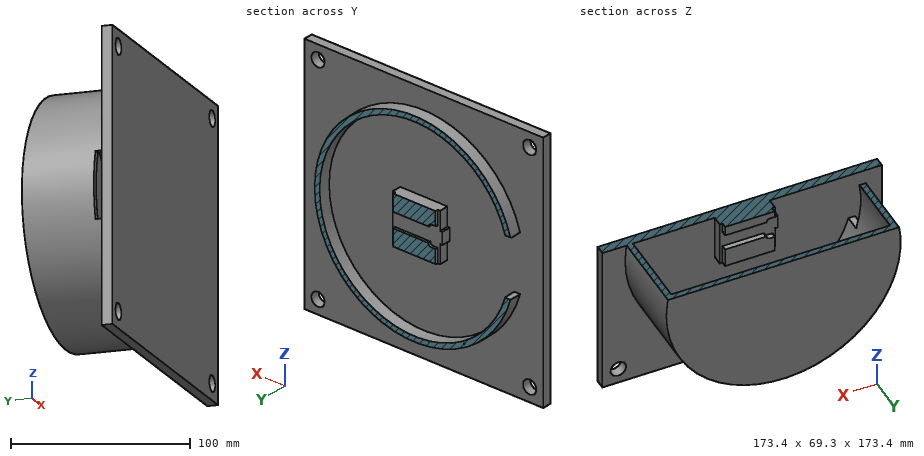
import cadquery as cq

plate_side = 173.4
plate_thickness = 6.5
mount_hole_diameter = 9.5
mount_hole_spacing = 153.6

housing_diameter = 145.3
cavity_diameter = 137.3
housing_depth = 52.4
wall = (housing_diameter - cavity_diameter) / 2
housing_rear = plate_thickness + housing_depth

pin_diameter = 8.8
pin_length = 10.4
pin_height = 30.5

window_width = 39.5
window_depth = 9.7

hub_side = 34.3
hub_base_depth = 6.5
hub_upper_setback = 1.7
hub_upper_side = hub_side - 2 * hub_upper_setback
slot_width = 10.2
recess_depth = 5.2
recess_corner_diameter = 4.2
recess_width = slot_width + recess_corner_diameter
key_width = 8.5
key_projection = 1.7


def block(x_start, x_end, y_start, y_end, width):
    """Box between two X and two Y positions, centred on Z = 0."""
    return cq.Workplane("XY").box(
        x_end - x_start, y_end - y_start, width, centered=(False, False, True)
    ).translate((x_start, y_start, 0))


def rod(diameter, y_start, y_end, z=0):
    """Cylinder along Y, on the X = 0 plane."""
    return (
        cq.Workplane("XZ", origin=(0, y_start, z))
        .circle(diameter / 2)
        .extrude(y_start - y_end)
    )


def make_plate():
    holes = (
        cq.Workplane("XZ")
        .rect(mount_hole_spacing, mount_hole_spacing, forConstruction=True)
        .vertices()
        .circle(mount_hole_diameter / 2)
        .extrude(-plate_thickness)
    )
    plate = block(-plate_side / 2, plate_side / 2, 0, plate_thickness, plate_side)
    return plate.cut(holes)


def make_housing():
    shell = rod(housing_diameter, plate_thickness, housing_rear)
    cavity = rod(cavity_diameter, plate_thickness, housing_rear - wall)
    window = block(
        -housing_diameter / 2, 0,
        plate_thickness, plate_thickness + window_depth, window_width,
    )
    return shell.cut(cavity).cut(window)


def make_hub():
    base_end = plate_thickness + hub_base_depth
    hub_end = plate_thickness + window_depth
    half = hub_side / 2
    upper_half = hub_upper_side / 2

    base = block(-half, half, plate_thickness, base_end, hub_side)
    key = block(-half - key_projection, -half, plate_thickness, base_end, key_width)

    upper = block(-upper_half, upper_half, base_end, hub_end, hub_side)
    slot = block(-upper_half, upper_half, base_end, hub_end, slot_width)
    recess = block(-upper_half, recess_depth - upper_half, base_end, hub_end, recess_width)
    recess = recess.edges("|Y and >X").fillet(recess_corner_diameter / 2)
    upper = upper.cut(slot).cut(recess)
    return base.union(key).union(upper)


rear_pin = rod(pin_diameter, housing_rear, housing_rear + pin_length, pin_height)

result = make_plate().union(make_housing()).union(make_hub()).union(rear_pin)